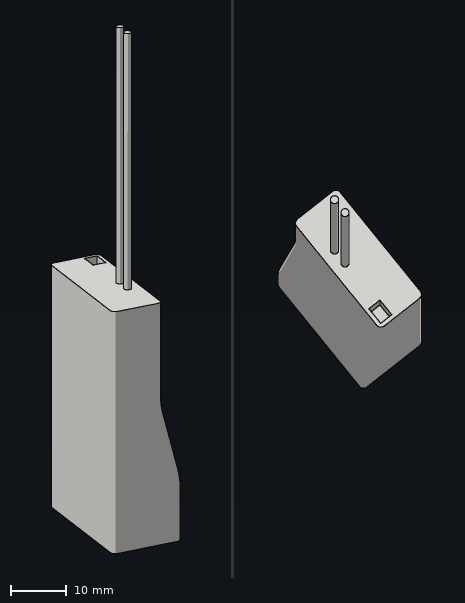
import cadquery as cq

total_height = 97.2
wire_length = 50.0
body_width = 25.0
base_depth = 14.0
top_depth = 10.0
slope_start = 12.1
slope_end = 27.2
bend_radius = 15.0
edge_radius = 1.0

wire_count = 2
wire_diameter = 1.5
wire_spacing = 3.0
first_wire_x = 0.9
wire_y = 7.4

pocket_width = 3.4
pocket_length = 2.5
pocket_depth = 4.9
pocket_side_wall = 0.8
pocket_back_wall = 0.8

body_height = total_height - wire_length


def make_body():
    """Block whose back face bends inward towards the top, with rounded long edges."""
    block = (
        cq.Workplane("YZ")
        .moveTo(0, 0)
        .lineTo(base_depth, 0)
        .lineTo(base_depth, slope_start)
        .lineTo(top_depth, slope_end)
        .lineTo(top_depth, body_height)
        .lineTo(0, body_height)
        .close()
        .extrude(body_width / 2, both=True)
    )
    for bend_y, bend_z in ((base_depth, slope_start), (top_depth, slope_end)):
        bend = cq.selectors.NearestToPointSelector((0, bend_y, bend_z))
        block = block.edges("|X").edges(bend).fillet(bend_radius)

    front_edges = block.faces("<Y").edges("|Z")
    back_edges = block.faces(">Y").edges("|Z")
    return block.newObject(front_edges.vals() + back_edges.vals()).fillet(edge_radius)


def make_pocket():
    """Rectangular recess sunk into the top face near one back corner."""
    return cq.Workplane("XY").box(
        pocket_width, pocket_length, pocket_depth, centered=False
    ).translate((
        pocket_side_wall - body_width / 2,
        top_depth - pocket_back_wall - pocket_length,
        body_height - pocket_depth,
    ))


def make_wires():
    """Two straight round leads standing on the top face."""
    wire_centres = [(first_wire_x + i * wire_spacing, wire_y) for i in range(wire_count)]
    return (
        cq.Workplane("XY")
        .workplane(offset=body_height)
        .pushPoints(wire_centres)
        .circle(wire_diameter / 2)
        .extrude(wire_length)
    )


result = make_body().cut(make_pocket()).union(make_wires())